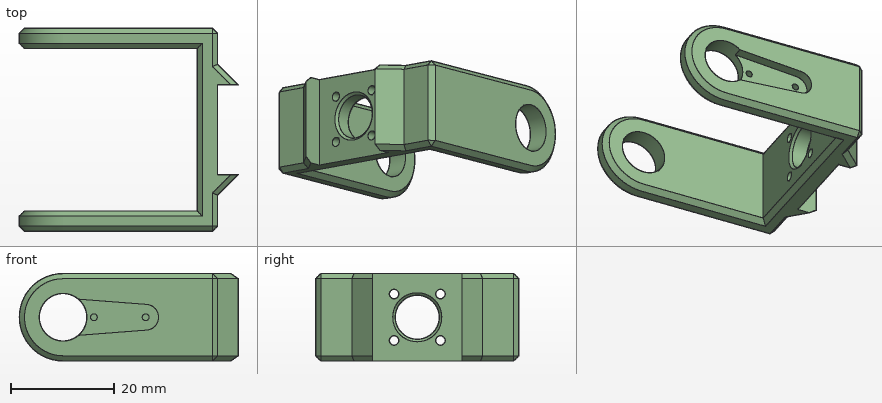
import cadquery as cq

total_length = 42.5
width = 39.5
height = 17.0
wall = 4.0
edge_chamfer = 1.0

hook_length = 4.0
hook_inner_y = 8.7

arm_bore_diameter = 9.2

wall_bore_diameter = 8.5
wall_bore_chamfer = 0.5
mount_hole_diameter = 1.8
mount_hole_spacing = 9.0

pocket_depth = 2.0
pocket_root_half_height = 3.75
pocket_tip_radius = 2.5
pin_hole_diameter = 1.3
pin_hole_offsets = (6.0, 16.02)

select_margin = 0.42

arm_radius = height / 2
half_width = width / 2
inner_half_width = half_width - wall
back_x = total_length - hook_length - arm_radius
inner_back_x = back_x - wall
hook_tip_x = back_x + hook_length
hook_outer_y = hook_inner_y + hook_length
pocket_tip_x = pin_hole_offsets[-1]


def make_bracket():
    """U-shaped plate outline with two 45-degree hooks on its back, full height."""
    outline = [
        (-arm_radius, half_width),
        (back_x, half_width),
        (back_x, hook_outer_y),
        (hook_tip_x, hook_inner_y),
        (back_x, hook_inner_y),
        (back_x, -hook_inner_y),
        (hook_tip_x, -hook_inner_y),
        (back_x, -hook_outer_y),
        (back_x, -half_width),
        (-arm_radius, -half_width),
        (-arm_radius, -inner_half_width),
        (inner_back_x, -inner_half_width),
        (inner_back_x, inner_half_width),
        (-arm_radius, inner_half_width),
    ]
    return cq.Workplane("XY").polyline(outline).close().extrude(height / 2, both=True)


def make_side_envelope():
    """Side profile with a round front end, spanning the whole width."""
    return (
        cq.Workplane("XZ")
        .moveTo(0, arm_radius)
        .lineTo(hook_tip_x, arm_radius)
        .lineTo(hook_tip_x, -arm_radius)
        .lineTo(0, -arm_radius)
        .threePointArc((-arm_radius, 0), (0, arm_radius))
        .close()
        .extrude(half_width, both=True)
    )


def faces_centred_in(body, x_min, x_max, y_min, y_max):
    """Upright faces whose centres lie within the given X and Y limits, widened by the margin."""
    low = (x_min - select_margin, y_min - select_margin, -select_margin)
    high = (x_max + select_margin, y_max + select_margin, select_margin)
    return body.faces(cq.selectors.BoxSelector(low, high))


def chamfer_edges(body):
    """Bevel the rims of the arms, the inner rim of the wall and the outer side of the hooks."""
    arm_rims = body.faces("<Y or >Y").edges()
    inner_rims = faces_centred_in(
        body, -arm_radius, inner_back_x, -inner_half_width, inner_half_width
    ).edges("not |Z")
    hook_limit = hook_inner_y + select_margin * 2
    side_limit = half_width - select_margin * 2
    back_rims = []
    for y_min, y_max in ((hook_limit, side_limit), (-side_limit, -hook_limit)):
        back_faces = faces_centred_in(body, back_x, hook_tip_x, y_min, y_max)
        back_rims += back_faces.edges("not |Z").vals()
    rims = arm_rims.vals() + inner_rims.vals() + back_rims
    return body.newObject(rims).chamfer(edge_chamfer)


def make_arm_bores():
    return cq.Workplane("XZ").circle(arm_bore_diameter / 2).extrude(half_width, both=True)


def make_wall_holes():
    """Centre bore chamfered at both ends and four mounting holes, running along X through the wall."""
    plane = cq.Workplane("YZ", origin=(inner_back_x, 0, 0))
    bore_radius = wall_bore_diameter / 2
    bore = plane.circle(bore_radius).extrude(wall)
    for rim_x, inward in ((inner_back_x, 1), (back_x, -1)):
        countersink = cq.Solid.makeCone(
            bore_radius + wall_bore_chamfer,
            bore_radius,
            wall_bore_chamfer,
            pnt=cq.Vector(rim_x, 0, 0),
            dir=cq.Vector(inward, 0, 0),
        )
        bore = bore.union(cq.Workplane(countersink))
    mount_holes = (
        plane.rect(mount_hole_spacing, mount_hole_spacing, forConstruction=True)
        .vertices()
        .circle(mount_hole_diameter / 2)
        .extrude(wall)
    )
    return bore.union(mount_holes)


def make_horn_pocket():
    """Tapered pocket on the -Y arm, with pin holes through its floor."""
    plane = cq.Workplane("XZ", origin=(0, -half_width, 0))
    pocket = (
        plane.moveTo(0, pocket_root_half_height)
        .lineTo(pocket_tip_x, pocket_tip_radius)
        .threePointArc(
            (pocket_tip_x + pocket_tip_radius, 0), (pocket_tip_x, -pocket_tip_radius)
        )
        .lineTo(0, -pocket_root_half_height)
        .close()
        .extrude(-pocket_depth)
    )
    pins = (
        plane.pushPoints([(offset, 0) for offset in pin_hole_offsets])
        .circle(pin_hole_diameter / 2)
        .extrude(-wall)
    )
    return pocket.union(pins)


bracket = chamfer_edges(make_bracket().intersect(make_side_envelope()))
result = bracket.cut(make_arm_bores()).cut(make_wall_holes()).cut(make_horn_pocket())